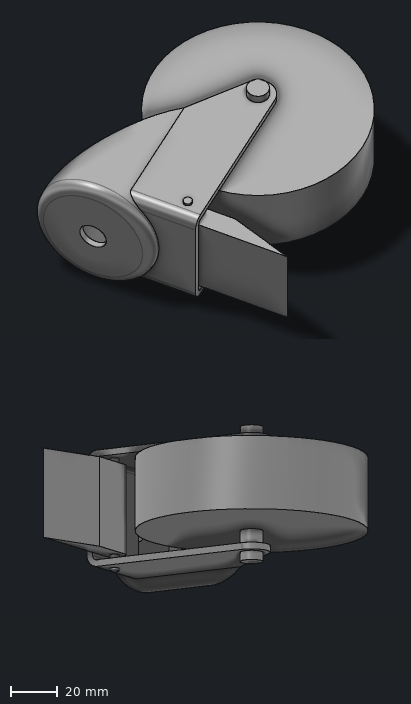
import cadquery as cq
import math

wheel_radius = 50.0
wheel_width = 32.0
axle_radius = 5.0
axle_length = 59.0

head_x = -37.9
head_radius = 28.5
head_bottom = -84.0
head_disc_thickness = 5.9
head_edge_radius = 5.0
head_wall = 2.1
head_floor = 3.0
bolt_hole_radius = 6.3
head_disc_top = head_bottom + head_disc_thickness

arm_radius = 8.0
fork_width = 50.9
fork_thickness = 3.0
fork_bend_radius = 5.0
fork_start_x = head_x + 8.6
fork_height = arm_radius - head_disc_top
fork_inner_width = fork_width - 2 * fork_thickness

pedal_pin_y = -69.1
pedal_pin_radius = 2.0
pedal_pin_length = 53.0
pedal_hub_radius = 5.0
pedal_width = 39.1
pedal_shoulder_x = 20.2
pedal_tip_x = wheel_radius


def centered_cylinder(radius, length, y=0):
    """Cylinder along Z, centred on Z = 0."""
    base = cq.Workplane("XY", origin=(0, y, -length / 2))
    return base.circle(radius).extrude(length)


def upright_cylinder(radius, bottom, height):
    """Cylinder along +Y on the swivel axis."""
    plane = cq.Plane(origin=(head_x, bottom, 0), xDir=(1, 0, 0), normal=(0, 1, 0))
    return cq.Workplane(plane).circle(radius).extrude(height)


def block_from_corner(start_x, bottom, width):
    """Block from a lower edge to the arm's +X side and top, centred on Z = 0."""
    length = arm_radius - start_x
    height = arm_radius - bottom
    return cq.Workplane("XY").box(length, height, width, centered=(False, False, True)).translate(
        (start_x, bottom, 0)
    )


def make_side_envelope():
    """Rounded arm end, straight +X edge, and sloped edge tangent to the arm end."""
    low_x = head_x - head_radius
    distance = math.hypot(low_x, head_disc_top)
    tangent_angle = math.atan2(head_disc_top, low_x) - math.acos(arm_radius / distance)
    tangent = (arm_radius * math.cos(tangent_angle), arm_radius * math.sin(tangent_angle))
    return (
        cq.Workplane("XY")
        .moveTo(low_x, head_disc_top)
        .lineTo(*tangent)
        .threePointArc((0, arm_radius), (arm_radius, 0))
        .lineTo(arm_radius, head_disc_top)
        .close()
        .extrude(head_radius, both=True)
    )


def make_fork():
    outer = block_from_corner(fork_start_x, head_disc_top, fork_width)
    outer = outer.edges("|X and <Y").fillet(fork_bend_radius)
    inner = block_from_corner(fork_start_x, head_disc_top + fork_thickness, fork_inner_width)
    inner = inner.edges("|X and <Y").fillet(fork_bend_radius - fork_thickness)
    tube = upright_cylinder(head_radius, head_disc_top, fork_height)
    tube = tube.cut(upright_cylinder(head_radius - head_wall, head_disc_top, fork_height))
    return tube.union(outer).cut(inner).intersect(make_side_envelope())


def make_head_disc():
    disc = upright_cylinder(head_radius, head_bottom, head_disc_thickness)
    disc = disc.faces("<Y").edges().fillet(head_edge_radius)
    recess_depth = head_disc_thickness - head_floor
    recess = upright_cylinder(head_radius - head_wall, head_bottom + head_floor, recess_depth)
    return disc.cut(recess).cut(upright_cylinder(bolt_hole_radius, head_bottom, head_floor))


def make_pedal():
    top = pedal_pin_y + pedal_hub_radius
    bottom = pedal_pin_y - pedal_hub_radius
    return (
        cq.Workplane("XY")
        .moveTo(0, bottom)
        .lineTo(pedal_tip_x, bottom)
        .lineTo(pedal_shoulder_x, top)
        .lineTo(0, top)
        .threePointArc((-pedal_hub_radius, pedal_pin_y), (0, bottom))
        .close()
        .extrude(pedal_width / 2, both=True)
    )


result = (
    make_fork()
    .union(make_head_disc())
    .union(centered_cylinder(wheel_radius, wheel_width))
    .union(centered_cylinder(axle_radius, axle_length))
    .union(make_pedal())
    .union(centered_cylinder(pedal_pin_radius, pedal_pin_length, pedal_pin_y))
)